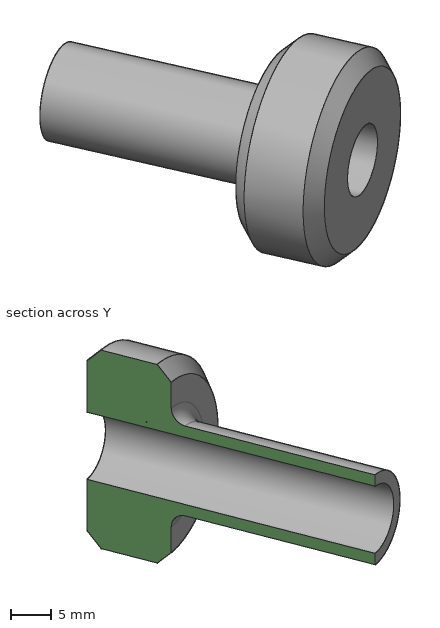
import cadquery as cq

total_length = 41.0
head_length = 12.0
head_diameter = 28.0
head_chamfer = 2.0
stem_diameter = 12.7
bore_diameter = 9.4
neck_fillet = 2.0

stem_length = total_length - head_length


def cylinder_along_x(start, length, diameter):
    """Solid cylinder on the X axis, growing toward +X from start."""
    return cq.Workplane("YZ", origin=(start, 0, 0)).circle(diameter / 2).extrude(length)


head = cylinder_along_x(stem_length, head_length, head_diameter).edges().chamfer(head_chamfer)

stem = cylinder_along_x(0, stem_length, stem_diameter)
neck_selector = cq.selectors.RadiusNthSelector(0)
body = head.union(stem)
neck_edge = body.edges(neck_selector).edges(">X")
body = neck_edge.fillet(neck_fillet)

bore = cylinder_along_x(0, total_length, bore_diameter)
result = body.cut(bore)